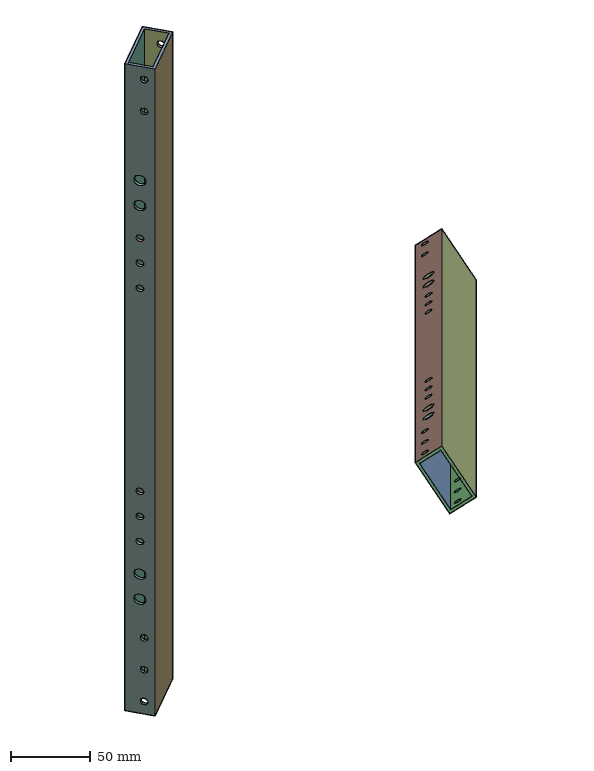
import cadquery as cq

WIDTH = 20.0
DEPTH = 40.0
LENGTH = 516.4
WALL = 2.0

CENTRE_PITCH = 20.0
MEDIUM_DIAMETER = 5.0
MEDIUM_COUNT = 3
FIRST_MEDIUM_HEIGHT = 81.0
LARGE_DIAMETER = 8.0
LARGE_COUNT = 2
FIRST_LARGE_HEIGHT = 147.1

END_HOLE_DIAMETER = 5.0
END_HOLE_X = 2.75
END_HOLE_PITCH = 25.4
END_MARGIN = 10.0
TOP_END_COUNT = 2
BOTTOM_END_COUNT = 3


def row(first, pitch, count):
    """Evenly spaced heights along the tube, starting at first."""
    return [first + i * pitch for i in range(count)]


def mirrored(heights):
    """Heights together with their mirror images below mid-length."""
    return heights + [-z for z in heights]


def make_tube():
    outer = cq.Workplane("XY").rect(WIDTH, DEPTH)
    profile = outer.rect(WIDTH - 2 * WALL, DEPTH - 2 * WALL)
    return profile.extrude(LENGTH / 2, both=True)


def drill(body, x, heights, diameter):
    """Drill round holes along Y through both narrow walls."""
    points = [(x, z) for z in heights]
    drills = cq.Workplane("XZ").pushPoints(points).circle(diameter / 2).extrude(DEPTH, both=True)
    return body.cut(drills)


medium_heights = mirrored(row(FIRST_MEDIUM_HEIGHT, CENTRE_PITCH, MEDIUM_COUNT))
large_heights = mirrored(row(FIRST_LARGE_HEIGHT, CENTRE_PITCH, LARGE_COUNT))

end_height = LENGTH / 2 - END_MARGIN
top_end_heights = row(end_height, -END_HOLE_PITCH, TOP_END_COUNT)
bottom_end_heights = row(-end_height, END_HOLE_PITCH, BOTTOM_END_COUNT)

result = make_tube()
result = drill(result, 0, medium_heights, MEDIUM_DIAMETER)
result = drill(result, 0, large_heights, LARGE_DIAMETER)
result = drill(result, END_HOLE_X, top_end_heights + bottom_end_heights, END_HOLE_DIAMETER)